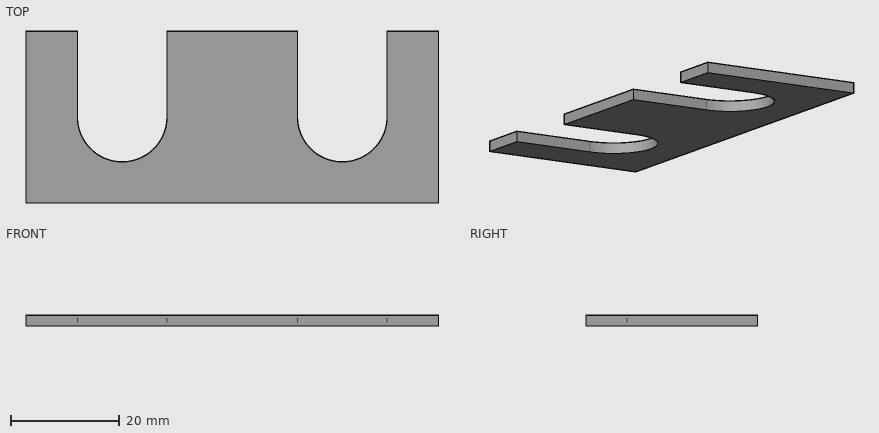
import cadquery as cq

length = 76.2
width = 31.75
thickness = 2.0

slot_width = 16.5
slot_spacing = 40.64
slot_radius = slot_width / 2
slot_center_y = 0.0


def make_plate():
    """Flat rectangular plate centred on the origin in X and Y, resting on Z = 0."""
    return cq.Workplane("XY").box(length, width, thickness, centered=(True, True, False))


def make_slot(center_x):
    """U-shaped cutter with a round end, running out through the +Y edge."""
    left_x = center_x - slot_radius
    right_x = center_x + slot_radius
    open_y = width / 2
    return (
        cq.Workplane("XY")
        .moveTo(left_x, open_y)
        .lineTo(left_x, slot_center_y)
        .threePointArc((center_x, slot_center_y - slot_radius), (right_x, slot_center_y))
        .lineTo(right_x, open_y)
        .close()
        .extrude(thickness)
    )


result = make_plate()
for side in (-1, 1):
    result = result.cut(make_slot(side * slot_spacing / 2))